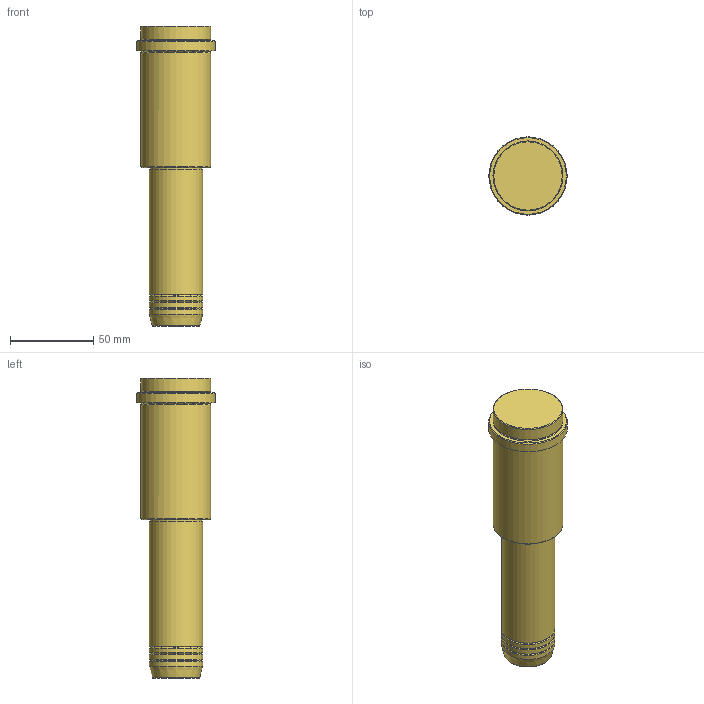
import cadquery as cq

TOTAL_LENGTH = 180.0

SHAFT_RADIUS = 16.0
SHAFT_LENGTH = 95.0
NECK_HEIGHT = 1.0
NECK_DEPTH = 0.5

LEAD_LENGTH = 7.0
LEAD_TIP_RADIUS = 14.3
LEAD_MID_RADIUS = 15.2
LEAD_MID_HEIGHT = 3.75
TIP_CHAMFER = 0.4

GROOVE_DEPTH = 0.5
SHAFT_GROOVE_COUNT = 3
FIRST_GROOVE_HEIGHT = 10.5
SHAFT_GROOVE_PITCH = 4.0

BODY_RADIUS = 21.0
BODY_CHAMFER = 0.5

COLLAR_RADIUS = 23.5
COLLAR_BOTTOM = 165.0
COLLAR_THICKNESS = 6.0
COLLAR_CHAMFER = 0.5


def cylinder(radius, bottom, top):
    """Solid cylinder on the Z axis between two heights."""
    return cq.Workplane("XY").workplane(offset=bottom).circle(radius).extrude(top - bottom)


def vee_groove_cutter(radius, centre):
    """Ring of triangular section that cuts a V groove into a cylinder at the given height."""
    overshoot_radius = radius + GROOVE_DEPTH
    root_radius = radius - GROOVE_DEPTH
    half_mouth = overshoot_radius - root_radius
    return (
        cq.Workplane("XZ")
        .moveTo(root_radius, centre)
        .lineTo(overshoot_radius, centre + half_mouth)
        .lineTo(overshoot_radius, centre - half_mouth)
        .close()
        .revolve(360, (0, 0, 0), (0, 1, 0))
    )


def make_shaft():
    """Slim shaft with a curved lead-in, V grooves and a neck below the body."""
    shaft = (
        cq.Workplane("XZ")
        .moveTo(0, 0)
        .lineTo(LEAD_TIP_RADIUS - TIP_CHAMFER, 0)
        .lineTo(LEAD_TIP_RADIUS, TIP_CHAMFER)
        .threePointArc((LEAD_MID_RADIUS, LEAD_MID_HEIGHT), (SHAFT_RADIUS, LEAD_LENGTH))
        .lineTo(SHAFT_RADIUS, SHAFT_LENGTH - NECK_HEIGHT)
        .lineTo(SHAFT_RADIUS - NECK_DEPTH, SHAFT_LENGTH - NECK_HEIGHT)
        .lineTo(SHAFT_RADIUS - NECK_DEPTH, SHAFT_LENGTH)
        .lineTo(0, SHAFT_LENGTH)
        .close()
        .revolve(360, (0, 0, 0), (0, 1, 0))
    )
    for index in range(SHAFT_GROOVE_COUNT):
        centre = FIRST_GROOVE_HEIGHT + index * SHAFT_GROOVE_PITCH
        shaft = shaft.cut(vee_groove_cutter(SHAFT_RADIUS, centre))
    return shaft


def make_body():
    """Thick body with chamfered ends and a V groove on each side of the collar."""
    body = cylinder(BODY_RADIUS, SHAFT_LENGTH, TOTAL_LENGTH)
    body = body.faces("<Z or >Z").chamfer(BODY_CHAMFER)
    collar_top = COLLAR_BOTTOM + COLLAR_THICKNESS
    for centre in (COLLAR_BOTTOM - GROOVE_DEPTH, collar_top + GROOVE_DEPTH):
        body = body.cut(vee_groove_cutter(BODY_RADIUS, centre))
    return body


def make_collar():
    """Collar with a chamfered upper edge."""
    collar = cylinder(COLLAR_RADIUS, COLLAR_BOTTOM, COLLAR_BOTTOM + COLLAR_THICKNESS)
    return collar.faces(">Z").chamfer(COLLAR_CHAMFER)


result = make_shaft().union(make_body()).union(make_collar())